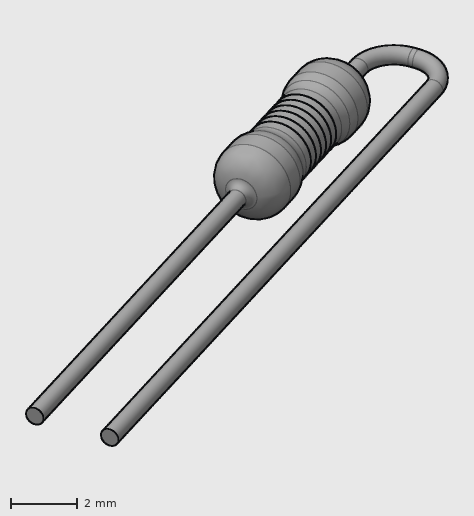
import cadquery as cq
import math


total_length = 22.9
top_of_bend = 5.9
lead_diameter = 0.6
lead_pitch = 2.55
bend_radius = 1.2

cap_diameter = 2.5
cap_land_length = 0.62
cap_round_radius = 0.85
neck_fillet_radius = 0.27
band_diameter = 2.15
gap_diameter = 2.13
band_count = 4
waist_length = 2.34

lead_radius = lead_diameter / 2
cap_radius = cap_diameter / 2
band_radius = band_diameter / 2
gap_radius = gap_diameter / 2

waist_half_length = waist_length / 2
band_width = waist_length / (2 * band_count - 1)
shoulder_drop = cap_radius - band_radius
shoulder_length = math.sqrt(shoulder_drop * (4 * cap_round_radius - shoulder_drop))
land_start = waist_half_length + shoulder_length
land_end = land_start + cap_land_length

round_center_radius = cap_radius - cap_round_radius
fillet_center_radius = lead_radius + neck_fillet_radius
center_distance = cap_round_radius + neck_fillet_radius
center_offset = fillet_center_radius - round_center_radius
neck_end = land_end + math.sqrt(center_distance**2 - center_offset**2)


def half_body():
    """Revolve one end of the body, from its middle to the neck, at waist (band) diameter."""
    shoulder_middle = ((band_radius + cap_radius) / 2, waist_half_length + shoulder_length / 2)
    tangent_share = cap_round_radius / center_distance
    round_end = (
        round_center_radius + center_offset * tangent_share,
        land_end + (neck_end - land_end) * tangent_share,
    )
    profile = (
        cq.Workplane("XY")
        .lineTo(band_radius, 0)
        .lineTo(band_radius, waist_half_length)
        .tangentArcPoint(shoulder_middle, relative=False)
        .tangentArcPoint((cap_radius, land_start), relative=False)
        .lineTo(cap_radius, land_end)
        .tangentArcPoint(round_end, relative=False)
        .tangentArcPoint((lead_radius, neck_end), relative=False)
        .lineTo(0, neck_end)
        .close()
    )
    return profile.revolve(360, (0, 0, 0), (0, 1, 0))


def band_gap(start):
    """Ring removed between two neighbouring bands."""
    return (
        cq.Workplane("XZ", origin=(0, start, 0))
        .circle(cap_radius)
        .circle(gap_radius)
        .extrude(-band_width)
    )


def body():
    end = half_body()
    solid = end.union(end.mirror("XZ"))
    for index in range(band_count - 1):
        solid = solid.cut(band_gap(-waist_half_length + (2 * index + 1) * band_width))
    return solid


def lead_wire():
    """One wire through the body, turned back by two bends to run beside it."""
    lead_end = top_of_bend - total_length
    bend_top = top_of_bend - lead_radius
    bend_start = bend_top - bend_radius
    path = (
        cq.Workplane("XY")
        .moveTo(0, lead_end)
        .lineTo(0, bend_start)
        .tangentArcPoint((bend_radius, bend_top), relative=False)
        .lineTo(lead_pitch - bend_radius, bend_top)
        .tangentArcPoint((lead_pitch, bend_start), relative=False)
        .lineTo(lead_pitch, lead_end)
    )
    return cq.Workplane("XZ", origin=(0, lead_end, 0)).circle(lead_radius).sweep(path)


result = body().union(lead_wire())